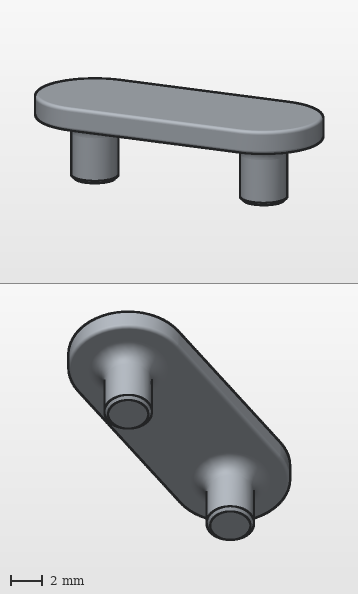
import cadquery as cq

length = 19.3
width = 7.55
plate_thickness = 1.5
plate_edge_radius = 0.23

total_height = 5.5
pin_diameter = 3.0
pin_spacing = length - width
pin_root_radius = 1.0
pin_tip_chamfer = 0.23

pin_radius = pin_diameter / 2
pin_length = total_height - plate_thickness


def make_plate():
    """Slot-shaped plate with its underside at Z = 0 and both rims rounded."""
    plate = cq.Workplane("XY").slot2D(length, width).extrude(plate_thickness)
    return plate.faces("|Z").edges().fillet(plate_edge_radius)


def make_pin(center_x):
    """Pin below the plate, flared at the root and chamfered at the tip."""
    flare_radius = pin_radius + pin_root_radius
    overlap = plate_thickness / 2
    profile = (
        cq.Workplane("XZ")
        .moveTo(0, overlap)
        .lineTo(flare_radius, overlap)
        .lineTo(flare_radius, 0)
        .radiusArc((pin_radius, -pin_root_radius), -pin_root_radius)
        .lineTo(pin_radius, pin_tip_chamfer - pin_length)
        .lineTo(pin_radius - pin_tip_chamfer, -pin_length)
        .lineTo(0, -pin_length)
        .close()
    )
    return profile.revolve(360, (0, 0, 0), (0, 1, 0)).translate((center_x, 0, 0))


result = make_plate()
for side in (-1, 1):
    result = result.union(make_pin(side * pin_spacing / 2))